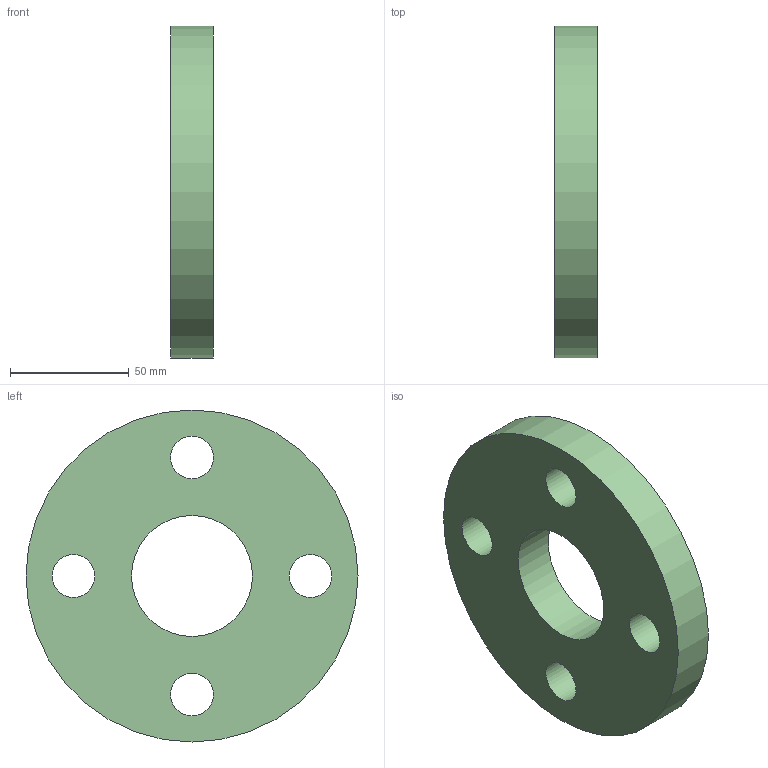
import cadquery as cq

outer_diameter = 140.0
thickness = 18.0
bore_diameter = 51.0

bolt_circle_diameter = 100.0
bolt_hole_diameter = 18.0
bolt_hole_count = 4


def flange_ring():
    """Disc with a central through bore."""
    return (
        cq.Workplane("YZ")
        .circle(outer_diameter / 2)
        .circle(bore_diameter / 2)
        .extrude(thickness)
    )


def bolt_holes():
    """Cylinders that cut the bolt holes through the full thickness."""
    return (
        cq.Workplane("YZ")
        .polarArray(bolt_circle_diameter / 2, 0, 360, bolt_hole_count)
        .circle(bolt_hole_diameter / 2)
        .extrude(thickness)
    )


result = flange_ring().cut(bolt_holes())